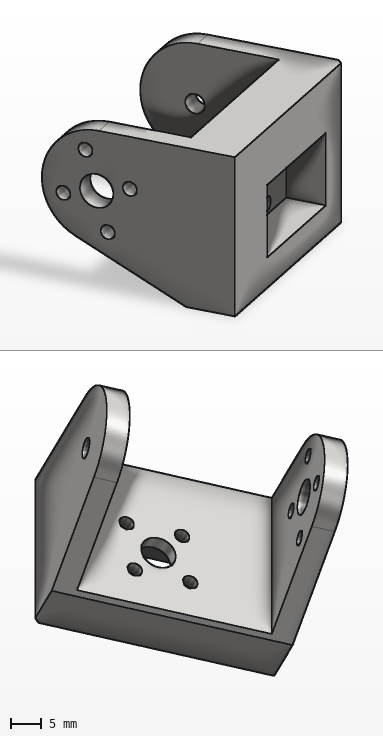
import cadquery as cq
import math

length = 34.9
width = 42.0
height = 28.65

arm_thickness = 4.05
web_thickness = 9.83
nose_radius = 10.3
flat_base_length = 8.78
corner_chamfer = 0.95

pivot_x = -25.0
pivot_z = 17.75
horn_bore_diameter = 6.0
pivot_diameter = 3.5
screw_diameter = 2.5
horn_screw_offsets = [(2.0, -7.0), (6.0, 1.5)]

motor_y = 2.77
motor_z = 12.0
motor_bore_diameter = 6.0
motor_screw_offsets = [(5.55, 4.6), (4.1, -4.58)]
motor_plate_thickness = 2.65
pocket_width = 22.7
pocket_height = 13.0


def with_opposites(offsets):
    """Add the point diametrically opposite each offset."""
    return offsets + [(-u, -v) for u, v in offsets]


def side_profile_block():
    """Full-width block with a round nose and a sloping underside tangent to it."""
    nose_x = nose_radius - length
    nose_z = height - nose_radius
    run = -flat_base_length - nose_x
    distance = math.hypot(run, nose_z)
    angle = math.atan2(-nose_z, run) - math.acos(nose_radius / distance)
    tangent_point = (
        nose_x + nose_radius * math.cos(angle),
        nose_z + nose_radius * math.sin(angle),
    )
    return (
        cq.Workplane("XZ")
        .moveTo(0, 0)
        .lineTo(0, height)
        .lineTo(nose_x, height)
        .threePointArc((-length, nose_z), tangent_point)
        .lineTo(-flat_base_length, 0)
        .close()
        .extrude(width / 2, both=True)
    )


def gap_between_arms():
    gap_length = length - web_thickness
    gap_width = width - 2 * arm_thickness
    return (
        cq.Workplane("XY")
        .box(gap_length, gap_width, height, centered=(False, True, False))
        .translate((-length, 0, 0))
    )


def arm_holes():
    """Horn bore and its screws in the -Y arm, plain pivot hole in the +Y arm."""
    front_face = cq.Workplane("XZ", origin=(pivot_x, -width / 2, pivot_z))
    bore = front_face.circle(horn_bore_diameter / 2).extrude(-arm_thickness)
    screws = (
        front_face.pushPoints(with_opposites(horn_screw_offsets))
        .circle(screw_diameter / 2)
        .extrude(-arm_thickness)
    )
    pivot = front_face.circle(pivot_diameter / 2).extrude(-width)
    return bore.union(screws).union(pivot)


def motor_mount():
    """Bore and screw holes through the web, opening into a pocket in the mounting face."""
    web_face = cq.Workplane("YZ", origin=(-web_thickness, motor_y, motor_z))
    bore = web_face.circle(motor_bore_diameter / 2).extrude(web_thickness)
    screws = (
        web_face.pushPoints(with_opposites(motor_screw_offsets))
        .circle(screw_diameter / 2)
        .extrude(web_thickness)
    )
    pocket = (
        web_face.workplane(offset=motor_plate_thickness)
        .rect(pocket_width, pocket_height)
        .extrude(web_thickness - motor_plate_thickness)
    )
    return bore.union(screws).union(pocket)


body = side_profile_block().edges("|Z and >X and >Y").chamfer(corner_chamfer)
result = body.cut(gap_between_arms()).cut(arm_holes()).cut(motor_mount())